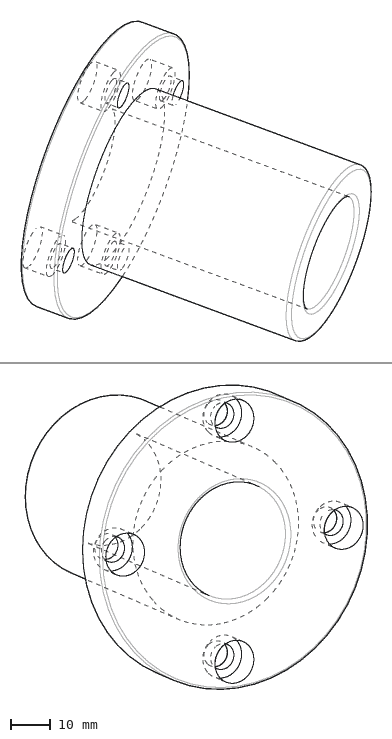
import cadquery as cq

total_length = 68.0
flange_diameter = 76.0
flange_thickness = 10.0
barrel_diameter = 47.0
bore_diameter = 30.0

flange_edge_radius = 0.6
barrel_end_radius = 1.0
bore_edge_radius = 1.0

screw_count = 4
screw_circle_diameter = 62.0
screw_hole_diameter = 6.6
counterbore_diameter = 11.0
counterbore_depth = 6.5


def x_cylinder(diameter, length):
    """Solid cylinder on the X axis, running in +X from X = 0."""
    return cq.Workplane("YZ").circle(diameter / 2).extrude(length)


def make_flange():
    flange = x_cylinder(flange_diameter, flange_thickness)
    return flange.edges().fillet(flange_edge_radius)


def make_barrel():
    barrel = x_cylinder(barrel_diameter, total_length)
    return barrel.faces(">X").edges().fillet(barrel_end_radius)


def cut_bore(body):
    bored = body.cut(x_cylinder(bore_diameter, total_length))
    rim = cq.selectors.RadiusNthSelector(0)
    return bored.faces("<X or >X").edges(rim).fillet(bore_edge_radius)


def cut_screw_holes(body):
    hole = x_cylinder(screw_hole_diameter, flange_thickness)
    counterbore = x_cylinder(counterbore_diameter, counterbore_depth)
    cutter = hole.union(counterbore).translate((0, 0, screw_circle_diameter / 2))
    for index in range(screw_count):
        angle = index * 360 / screw_count
        body = body.cut(cutter.rotate((0, 0, 0), (1, 0, 0), angle))
    return body


result = cut_screw_holes(cut_bore(make_flange().union(make_barrel())))